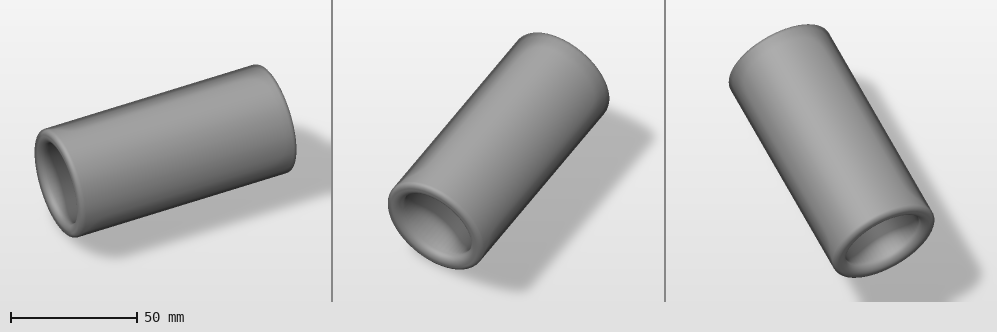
import cadquery as cq

length = 95.0
outer_diameter = 45.0
bore_diameter = 33.0
outer_rim_radius = 2.0
bore_rim_radius = 3.0

tube = (
    cq.Workplane("XZ", origin=(0, length / 2, 0))
    .circle(outer_diameter / 2)
    .circle(bore_diameter / 2)
    .extrude(length)
)

end_faces = "<Y or >Y"
largest_circles = cq.selectors.RadiusNthSelector(-1)
smallest_circles = cq.selectors.RadiusNthSelector(0)
tube = tube.faces(end_faces).edges(largest_circles).fillet(outer_rim_radius)
result = tube.faces(end_faces).edges(smallest_circles).fillet(bore_rim_radius)